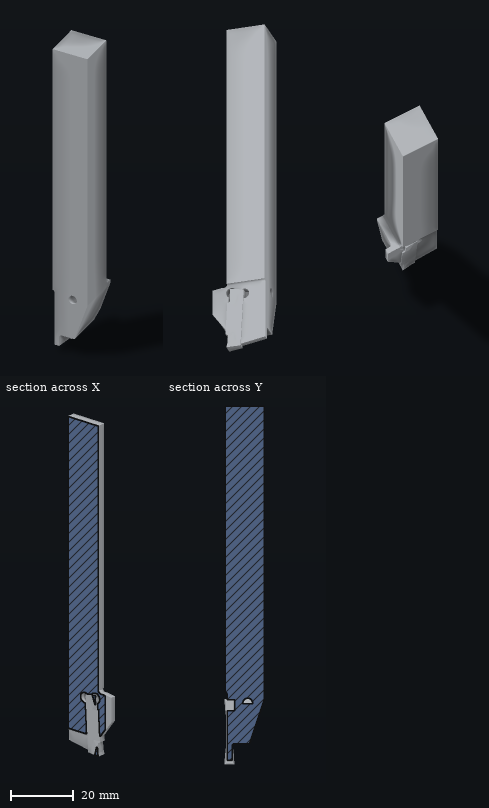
import cadquery as cq
import math

overall_length = 114.3
shank_side = 12.7
head_depth = 17.7

step_radius = 0.7
step_end_z = 22.2

blade_far_x = 2.4
flank_start_z = 20.7
flank_end_x = 8.0
block_bottom_z = 6.5
corner_radius = 0.9

nose_front_z = 2.3
nose_back_z = 0.9
head_bevel_z = 22.6
head_bevel_y = 13.4
head_top_z = 22.0
head_top_y = 14.7
head_back_z = 21.5
finger_slope_z = 13.0
finger_end_y = 13.3
finger_end_z = 6.7
block_depth = 15.4

hole_x = 7.3
hole_z = 21.3
hole_diameter = 3.0
hole_depth = 6.9
hole_slope = 15.0

insert_tilt = 3.0
insert_length = 20.9
seat_y = 8.2
tip_height = 4.6
end_relief = 0.5
rake_floor = 4.3
rake_start = 1.0
rake_end = 4.5
back_height = 5.3
back_start = 4.9
cutting_width = 3.2
cutting_near_x = -0.1
body_width = 2.3

ramp_start = 5.3
ramp_angle = 7.0
flank_low = (1.0, 0.5)
flank_high = (2.5, 5.3)

relief_radius = 1.7
relief_wall = 5.0
relief_centres = ((7.1, 18.9), (11.4, 19.8))

blade_near_x = step_radius
insert_mid_x = cutting_near_x + cutting_width / 2
tilt = math.radians(insert_tilt)
seat_z = -tip_height * math.sin(tilt)


def place_insert(shape):
    """Move a shape from the insert frame (X, across as Y, along as Z) into the holder."""
    return shape.rotate((0, 0, 0), (1, 0, 0), insert_tilt).translate((0, seat_y, seat_z))


def insert_profile(x, width):
    """Double-ended insert outline, mirrored about its middle and extruded along X."""
    lower = [
        (0, end_relief),
        (tip_height, 0),
        (rake_floor, rake_start),
        (rake_floor, rake_end),
        (back_height, back_start),
    ]
    upper = [(across, insert_length - along) for across, along in reversed(lower)]
    return cq.Workplane("YZ", origin=(x, 0, 0)).polyline(lower + upper).close().extrude(width)


def build_holder():
    """Shank and blade: front and side outlines intersected, then the recesses cut."""
    front = (
        cq.Workplane("XZ")
        .polyline([
            (0, step_end_z + step_radius), (0, overall_length), (shank_side, overall_length),
            (shank_side, flank_start_z), (flank_end_x, block_bottom_z), (blade_far_x, block_bottom_z),
            (blade_far_x, 0), (blade_near_x, 0), (blade_near_x, step_end_z),
        ])
        .radiusArc((0, step_end_z + step_radius), -step_radius)
        .close()
        .extrude(-head_depth)
    )
    corner = cq.selectors.NearestToPointSelector((blade_far_x, head_depth / 2, block_bottom_z))
    front = front.edges("|Y").edges(corner).fillet(corner_radius)
    side = (
        cq.Workplane("YZ")
        .polyline([
            (0, overall_length), (0, nose_front_z), (seat_y, nose_back_z),
            (finger_end_y, finger_end_z), (head_depth, finger_slope_z), (head_depth, head_back_z),
            (head_top_y, head_top_z), (head_bevel_y, head_top_z), (shank_side, head_bevel_z),
            (shank_side, overall_length),
        ])
        .close()
        .extrude(shank_side)
    )
    return front.intersect(side).cut(blade_clearance()).cut(pocket()).cut(sloping_hole())


def blade_clearance():
    """Space behind the head, leaving only the blade at full depth."""
    return (
        cq.Workplane("XY")
        .box(shank_side, head_depth, overall_length, centered=False)
        .translate((blade_far_x, block_depth, 0))
        .edges("|Z and <X and <Y")
        .fillet(corner_radius)
    )


def pocket():
    """Insert seat at full cutting width, with round reliefs and a straight wall by the upper rake."""
    reliefs = (
        cq.Workplane("YZ", origin=(cutting_near_x, 0, 0))
        .pushPoints(relief_centres)
        .circle(relief_radius)
        .extrude(cutting_width)
    )
    straight = cq.Workplane("XY").box(cutting_width, relief_wall, rake_end - rake_start, centered=False)
    straight = straight.translate((cutting_near_x, 0, insert_length - back_start))
    seat = insert_profile(cutting_near_x, cutting_width).union(straight)
    return place_insert(seat).union(reliefs)


def sloping_hole():
    """Cylinder along Y, run out past the front face, then tilted about the hole mouth."""
    return (
        cq.Workplane("XZ", origin=(hole_x, hole_depth, hole_z))
        .circle(hole_diameter / 2)
        .extrude(hole_depth + hole_diameter)
        .rotate((hole_x, 0, hole_z), (hole_x + 1.1, 0, hole_z), -hole_slope)
    )


def wedge_section(plane, near, near_half, far, far_half):
    """Symmetric trapezoid whose half width changes from one height to another."""
    return (
        cq.Workplane(plane)
        .polyline([(-near_half, near), (near_half, near), (far_half, far), (-far_half, far)])
        .close()
    )


def flank_wedge():
    """Relieved head sides: full width at the tip, down to body width at the flank line."""
    rise_across = flank_high[0] - flank_low[0]
    rise_along = flank_high[1] - flank_low[1]
    line_length = math.hypot(rise_across, rise_along)
    tip_offset = ((tip_height - flank_low[0]) * rise_along + flank_low[1] * rise_across) / line_length
    slope = (cutting_width - body_width) / 2 / tip_offset
    reach = 2 * tip_offset
    plane = cq.Plane(
        origin=(insert_mid_x, flank_low[0], flank_low[1]),
        xDir=(1, 0, 0),
        normal=(0, rise_across, rise_along),
    )
    section = wedge_section(plane, 0, body_width / 2, reach, body_width / 2 + slope * reach)
    return section.extrude(2 * line_length, both=True)


def ramp_wedge():
    """Ramps that carry the head sides back down to the body."""
    end_half = body_width / 2 + ramp_start * math.tan(math.radians(ramp_angle))
    plane = cq.Plane(origin=(insert_mid_x, 0, 0), xDir=(1, 0, 0), normal=(0, -1, 0))
    return wedge_section(plane, 0, end_half, ramp_start, body_width / 2).extrude(-back_height)


def build_insert():
    """Narrow body with a mirrored pair of wider cutting heads."""
    body = insert_profile(insert_mid_x - body_width / 2, body_width)
    head = insert_profile(cutting_near_x, cutting_width).intersect(flank_wedge()).intersect(ramp_wedge())
    upper_head = head.mirror("XY", (0, 0, insert_length / 2))
    return place_insert(body.union(head).union(upper_head))


holder = build_holder()
insert = build_insert()
result = cq.Compound.makeCompound([holder.val(), insert.val()])